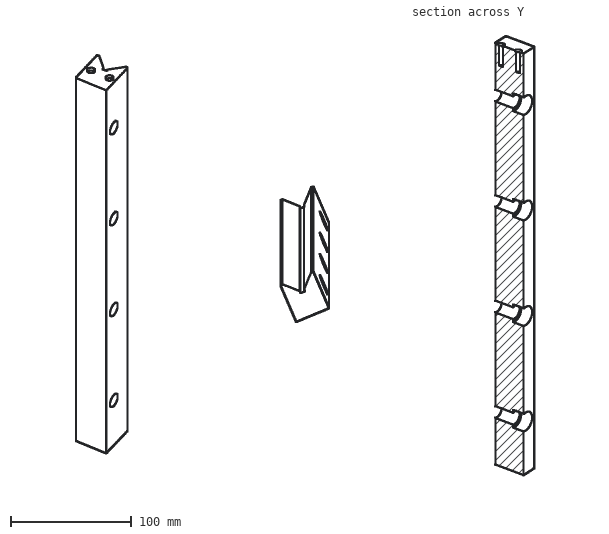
import cadquery as cq

width = 30.0
depth = 34.0
height = 400
edge_chamfer = 0.5

groove_width = 26.0
relief_width = 4
relief_depth = 13.0

cross_hole_count = 4
cross_hole_pitch = height / cross_hole_count
cross_hole_inset = 12
cross_hole_diameter = 12
counterbore_diameter = 17.0
counterbore_depth = 11.0

end_hole_spacing = 18.0
end_hole_inset = 15.0
end_hole_diameter = 3.5
countersink_diameter = 7.0
countersink_angle = 90
end_hole_depth = 20

front = -depth / 2
back = depth / 2


def make_bar():
    """Block with every edge chamfered except those around the top end."""
    block = cq.Workplane("XY").box(width, depth, height, centered=(True, True, False))
    return block.edges("not >Z").chamfer(edge_chamfer)


def make_groove():
    """V that ends in a narrow square-bottomed slot, running the full height."""
    groove_half = groove_width / 2
    relief_half = relief_width / 2
    floor = back - relief_depth
    slot_mouth = back - (groove_half - relief_half)
    return (
        cq.Workplane("XY")
        .moveTo(-groove_half, back)
        .lineTo(-relief_half, slot_mouth)
        .lineTo(-relief_half, floor)
        .lineTo(relief_half, floor)
        .lineTo(relief_half, slot_mouth)
        .lineTo(groove_half, back)
        .close()
        .extrude(height)
    )


def make_cross_holes():
    """Through holes along X, counterbored from the -X side."""
    axis_y = front + cross_hole_inset
    centers = [(axis_y, (i + 0.5) * cross_hole_pitch) for i in range(cross_hole_count)]
    side = cq.Workplane("YZ", origin=(-width / 2, 0, 0)).pushPoints(centers)
    holes = side.circle(cross_hole_diameter / 2).extrude(width)
    counterbores = side.circle(counterbore_diameter / 2).extrude(counterbore_depth)
    return holes.union(counterbores)


def drill_end_holes(body):
    """Countersunk blind holes going down from the top end."""
    axis_y = front + end_hole_inset
    centers = [(-end_hole_spacing / 2, axis_y), (end_hole_spacing / 2, axis_y)]
    top = body.faces(">Z").workplane(origin=(0, 0, height))
    return top.pushPoints(centers).cskHole(
        end_hole_diameter, countersink_diameter, countersink_angle, end_hole_depth
    )


bar = make_bar().cut(make_groove()).cut(make_cross_holes())
result = drill_end_holes(bar)